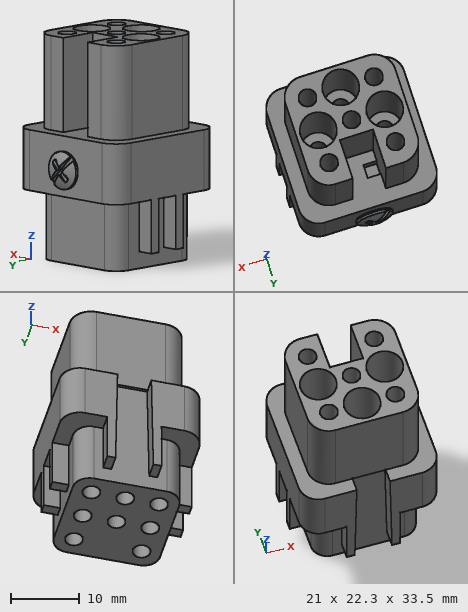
import cadquery as cq
import math

total_height = 33.5
flange_top = 19.5
flange_bottom = 10.5
rib_bottom = 2.5

flange_width = 21.0
flange_radius = 3.0
upper_width = 16.82
upper_radius = 3.2
lower_width = 16.0
lower_radius = 2.5
flange_half = flange_width / 2
lower_half = lower_width / 2

hole_pitch = 5.1
hole_diameter = 2.6
cavity_diameter = 5.4

keyway_width = hole_pitch
keyway_wall_y = 2.35
pocket_size = 2.05
pocket_depth = 2.0
pocket_center_y = hole_pitch

channel_top_width = 5.1
channel_draft = 1.0
channel_ribs_width = 8.17

side_rib_width = 1.5
side_rib_spacing = 5.02

screw_z = 14.5
screw_radius = 2.8
screw_base_radius = 2.6
rim_start = 0.27
rim_end = 0.65
screw_height = 1.37
screw_slot_width = 0.8
long_slot_floor = 0.4
short_slot_floor = 1.05
screw_slot_angle = 45.0


def rounded_block(width, radius, bottom, top):
    """Square block centred on the Z axis with rounded vertical edges."""
    block = cq.Workplane("XY").workplane(offset=bottom).rect(width, width).extrude(top - bottom)
    return block.edges("|Z").fillet(radius)


def box_between(x_range, y_range, z_range):
    """Box given by its start and end along each axis."""
    starts, ends = zip(x_range, y_range, z_range)
    sizes = [end - start for start, end in zip(starts, ends)]
    return cq.Workplane("XY").box(*sizes, centered=False).translate(starts)


def side_ribs():
    """Two ribs on each X side, reaching from the lower block out to the flange side."""
    ribs = cq.Workplane("XY")
    for rib_y in (-side_rib_spacing / 2, side_rib_spacing / 2):
        bar = box_between(
            (-flange_half, flange_half),
            (rib_y - side_rib_width / 2, rib_y + side_rib_width / 2),
            (rib_bottom, flange_bottom),
        )
        ribs = ribs.add(bar)
    return ribs.combine()


def channel_block():
    """Solid strip under the flange that the channel divides into two ribs."""
    return box_between(
        (-channel_ribs_width / 2, channel_ribs_width / 2),
        (-flange_half, 0),
        (rib_bottom, flange_bottom),
    )


def channel_cutter():
    """Tapered channel whose floor is level with the -Y face of the lower block."""
    top_half = channel_top_width / 2
    widening = (flange_top - rib_bottom) * math.tan(math.radians(channel_draft))
    bottom_half = top_half + widening
    outline = [
        (-top_half, flange_top),
        (top_half, flange_top),
        (bottom_half, rib_bottom),
        (-bottom_half, rib_bottom),
    ]
    plane = cq.Workplane("XZ").workplane(offset=lower_half)
    return plane.polyline(outline).close().extrude(flange_half - lower_half)


def keyway_cutter():
    """Keyway down to the flange top and the pocket beside its -X wall."""
    half = keyway_width / 2
    keyway = box_between((-half, half), (keyway_wall_y, upper_width / 2), (flange_top, total_height))
    pocket = box_between(
        (-half, -half + pocket_size),
        (pocket_center_y - pocket_size / 2, pocket_center_y + pocket_size / 2),
        (flange_top - pocket_depth, flange_top),
    )
    return keyway.union(pocket)


def contact_cutter():
    """Eight through holes, three of them opening into wide cavities at the top."""
    cavity_grid = [(-1, 0), (1, 0), (0, -1)]
    plain_grid = [(0, 0), (-1, 1), (1, 1), (-1, -1), (1, -1)]
    cavity_points = [(hole_pitch * i, hole_pitch * j) for i, j in cavity_grid]
    plain_points = [(hole_pitch * i, hole_pitch * j) for i, j in plain_grid]
    holes = (
        cq.Workplane("XY")
        .pushPoints(cavity_points + plain_points)
        .circle(hole_diameter / 2)
        .extrude(total_height)
    )
    cavities = (
        cq.Workplane("XY")
        .workplane(offset=flange_top)
        .pushPoints(cavity_points)
        .circle(cavity_diameter / 2)
        .extrude(total_height - flange_top)
    )
    return holes.union(cavities)


def screw_head():
    """Domed head with a conical underside and two crossed diagonal driver slots."""
    dome_rise = screw_height - rim_end
    dome_radius = (screw_radius**2 + dome_rise**2) / (2 * dome_rise)
    mid_radius = screw_radius / 2
    mid_height = screw_height - dome_radius + math.sqrt(dome_radius**2 - mid_radius**2)
    head = (
        cq.Workplane("XY")
        .moveTo(0, 0)
        .lineTo(screw_base_radius, 0)
        .lineTo(screw_radius, rim_start)
        .lineTo(screw_radius, rim_end)
        .threePointArc((mid_radius, mid_height), (0, screw_height))
        .close()
        .revolve(360, (0, 0, 0), (0, 1, 0))
    )
    for floor, angle in ((long_slot_floor, screw_slot_angle), (short_slot_floor, -screw_slot_angle)):
        slot = box_between(
            (-screw_radius, screw_radius),
            (floor, screw_height),
            (-screw_slot_width / 2, screw_slot_width / 2),
        )
        head = head.cut(slot.rotate((0, 0, 0), (0, 1, 0), angle))
    return head.translate((0, flange_half, screw_z))


body = (
    rounded_block(lower_width, lower_radius, 0, flange_bottom)
    .union(rounded_block(flange_width, flange_radius, flange_bottom, flange_top))
    .union(rounded_block(upper_width, upper_radius, flange_top, total_height))
    .union(side_ribs())
    .union(channel_block())
)

result = (
    body.cut(channel_cutter())
    .cut(keyway_cutter())
    .cut(contact_cutter())
    .union(screw_head())
)